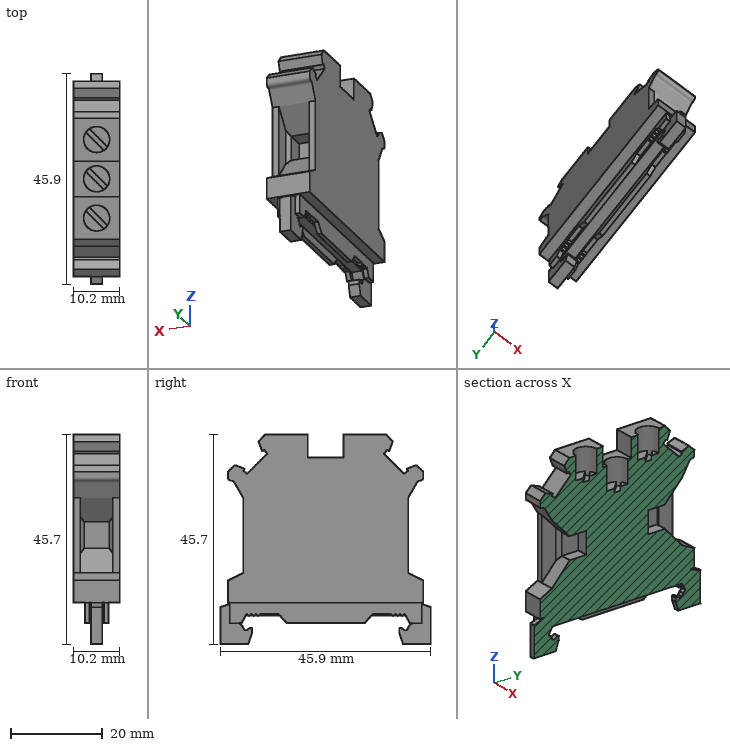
import cadquery as cq

body_width = 10.15
total_length = 45.9
total_height = 45.7

body_bottom = 9.05
base_half_length = 21.3
base_side_top = 13.9
waist_half_length = 18.0
waist_bottom = 15.55
waist_top = 31.9
notch_half_length = 3.85
notch_depth = 5.0
notch_floor = total_height - notch_depth

lip_mirror_offset = total_height - base_half_length
shoulder_half_length = 13.2
lip_profile = [
    (shoulder_half_length, total_height),
    (14.65, 44.15),
    (13.85, 42.05),
    (13.4, 42.3),
    (12.75, 41.5),
]
lip_side_bottom = 36.4
lip_round_middle = (21.1, 35.85)
lip_round_end = (20.55, 35.6)
lip_neck_middle = (20.2, 35.5)
lip_neck_end = (19.9, 35.2)

well_diameter = 5.65
well_depth = 6.0
well_spacing = 8.56
driver_slot_width = 1.1
driver_slot_depth = 1.0
driver_slot_angle = -45

mouth_half_width = 3.55
duct_half_width = 2.7
duct_floor = 20.95
duct_ceiling = 26.65
funnel_depth = 4.9
funnel_straight_depth = 3.85
duct_end = well_spacing

plate_inner_x = 1.55
plate_thickness = 1.03
plate_half_length = 20.95
plate_bottom = 4.6
plate_recess_top = 6.6
plate_jaw_foot = 18.3
tooth_pitch = 1.0
tooth_height = 0.5
tooth_count = 3
first_root = 17.2
plate_keel_top = 10.35
plate_keel_foot = 8.5

foot_thickness = 2.5
foot_underside = 6.25
foot_shoulder = 8.1
foot_top_end = 20.2
hook_throat = (18.75, 4.55)
hook_throat_bend = (18.1, 3.95)
hook_jaw_top = 17.75
hook_seat_start = (17.75, 3.2)
hook_seat_middle = (17.4, 3.05)
hook_seat_end = (17.0, 3.2)
hook_tip_start = (16.7, 3.45)
hook_tip_middle = (16.35, 3.6)
hook_tip_end = (16.0, 3.45)
hook_nose_bottom = 2.5
hook_foot = 16.85


def mirrored_about_y(half):
    """Join a half built on the +Y side with its mirror image."""
    return half.union(half.mirror("XZ"))


def across_groove(point):
    """Mirror a (y, z) point about the centreline of the marker groove."""
    y, z = point
    return (z - lip_mirror_offset, y + lip_mirror_offset)


def make_body():
    lower_lip = [across_groove(point) for point in reversed(lip_profile)]
    half = (
        cq.Workplane("YZ")
        .moveTo(0, body_bottom)
        .lineTo(0, notch_floor)
        .lineTo(notch_half_length, notch_floor)
        .lineTo(notch_half_length, total_height)
    )
    for y, z in lip_profile + lower_lip:
        half = half.lineTo(y, z)
    half = (
        half.lineTo(base_half_length, lip_side_bottom)
        .threePointArc(lip_round_middle, lip_round_end)
        .threePointArc(lip_neck_middle, lip_neck_end)
        .lineTo(waist_half_length, waist_top)
        .lineTo(waist_half_length, waist_bottom)
        .lineTo(base_half_length, base_side_top)
        .lineTo(base_half_length, body_bottom)
        .close()
        .extrude(body_width / 2, both=True)
    )
    return mirrored_about_y(half)


def make_screw_well(y, top):
    head_level = top - well_depth
    well = cq.Workplane("XY", origin=(0, y, head_level)).circle(well_diameter / 2).extrude(well_depth)
    cylinder = (
        cq.Workplane("XY", origin=(0, y, head_level - driver_slot_depth))
        .circle(well_diameter / 2)
        .extrude(driver_slot_depth)
    )
    slot = (
        cq.Workplane("XY", origin=(0, y, head_level - driver_slot_depth))
        .transformed(rotate=(0, 0, driver_slot_angle))
        .rect(well_diameter, driver_slot_width)
        .extrude(driver_slot_depth)
        .intersect(cylinder)
    )
    return well.union(slot)


def make_wire_entry():
    """Intersect the side profile of the entry with its plan profile."""
    funnel_end = waist_half_length - funnel_depth
    taper_start = waist_half_length - funnel_straight_depth
    side = (
        cq.Workplane("YZ")
        .polyline([
            (waist_half_length, waist_bottom),
            (funnel_end, duct_floor),
            (duct_end, duct_floor),
            (duct_end, duct_ceiling),
            (funnel_end, duct_ceiling),
            (waist_half_length, waist_top),
        ])
        .close()
        .extrude(mouth_half_width, both=True)
    )
    plan = (
        cq.Workplane("XY")
        .polyline([
            (mouth_half_width, waist_half_length),
            (mouth_half_width, taper_start),
            (duct_half_width, funnel_end),
            (duct_half_width, duct_end),
            (-duct_half_width, duct_end),
            (-duct_half_width, funnel_end),
            (-mouth_half_width, taper_start),
            (-mouth_half_width, waist_half_length),
        ])
        .close()
        .extrude(total_height)
    )
    return side.intersect(plan)


def make_rail_plate(inner_x):
    points = [
        (0, body_bottom),
        (plate_half_length, body_bottom),
        (plate_half_length, plate_bottom),
        (plate_jaw_foot, plate_bottom),
        (first_root, plate_recess_top),
    ]
    for tooth in range(tooth_count):
        root = first_root - tooth * tooth_pitch
        points.append((root - tooth_pitch / 2, plate_recess_top - tooth_height))
        points.append((root - tooth_pitch, plate_recess_top))
    points += [
        (plate_keel_top, plate_recess_top),
        (plate_keel_foot, plate_bottom),
        (0, plate_bottom),
    ]
    half = cq.Workplane("YZ", origin=(inner_x, 0, 0)).polyline(points).close().extrude(plate_thickness)
    return mirrored_about_y(half)


def make_foot():
    half = (
        cq.Workplane("YZ")
        .moveTo(0, body_bottom)
        .lineTo(foot_top_end, body_bottom)
        .lineTo(total_length / 2, foot_shoulder)
        .lineTo(total_length / 2, 0)
        .lineTo(hook_foot, 0)
        .lineTo(hook_tip_end[0], hook_nose_bottom)
        .lineTo(*hook_tip_end)
        .threePointArc(hook_tip_middle, hook_tip_start)
        .lineTo(*hook_seat_end)
        .threePointArc(hook_seat_middle, hook_seat_start)
        .lineTo(*hook_throat_bend)
        .lineTo(*hook_throat)
        .lineTo(hook_jaw_top, foot_underside)
        .lineTo(0, foot_underside)
        .close()
        .extrude(foot_thickness / 2, both=True)
    )
    return mirrored_about_y(half)


result = make_body()

for well_y, well_top in [(-well_spacing, total_height), (0, notch_floor), (well_spacing, total_height)]:
    result = result.cut(make_screw_well(well_y, well_top))

wire_entry = make_wire_entry()
result = result.cut(wire_entry).cut(wire_entry.mirror("XZ"))

for plate_x in (plate_inner_x, -plate_inner_x - plate_thickness):
    result = result.union(make_rail_plate(plate_x))

result = result.union(make_foot())